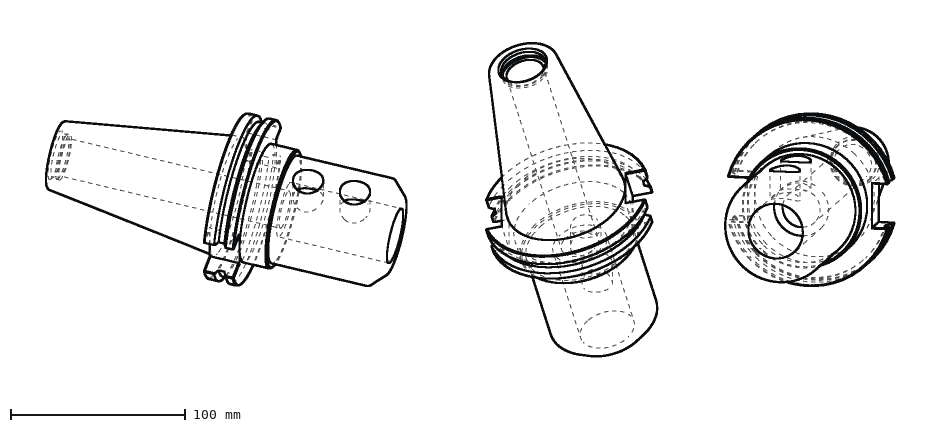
import cadquery as cq
import math


taper_ratio = 7 / 24
gauge_diameter = 69.85
taper_length = 101.6
taper_overrun = 0.8
taper_end_fillet = 2.0

overall_length = 203.22
flange_diameter = 97.5
flange_start = 1.4
flange_end = 19.2
flange_chamfer = 0.5

groove_center = 11.1
groove_floor_width = 3.4
groove_floor_diameter = 91.25
groove_half_angle = 30.0

slot_width = 25.7
slot_floor_plus_y = 37.7
slot_floor_minus_y = 35.3
cut_clearance = 1.0

collar_diameter = 69.85
collar_end = 35.4
collar_chamfer = 0.8
body_diameter = 63.5
nose_chamfer = 8.55
nose_fillet = 2.0

through_diameter = 21.97
counterbore_diameter = 26.2
counterbore_depth = 4.2
counterbore_chamfer = 1.3
relief_diameter = 26.7
relief_length = 1.4
shank_bore_diameter = 32.0
shank_bore_depth = 66.0

screw_hole_diameter = 17.32
screw_hole_from_nose = 24.0
screw_hole_spacing = 28.0
screw_hole_count = 2

taper_start = -taper_length
nose_end = taper_start + overall_length


def solid_of_revolution(points):
    """Revolve a closed (x, radius) outline about the X axis."""
    return cq.Workplane("XY").polyline(points).close().revolve(360, (0, 0, 0), (1, 0, 0))


def axial_cylinder(start, diameter, length):
    return cq.Workplane("YZ", origin=(start, 0, 0)).circle(diameter / 2).extrude(length)


def make_taper():
    gauge_radius = gauge_diameter / 2
    small_radius = gauge_radius - taper_length * taper_ratio / 2
    large_radius = gauge_radius + taper_overrun * taper_ratio / 2
    taper = solid_of_revolution([
        (taper_start, 0),
        (taper_start, small_radius),
        (taper_overrun, large_radius),
        (flange_start, large_radius),
        (flange_start, 0),
    ])
    return taper.faces("<X").edges().fillet(taper_end_fillet)


def make_groove():
    floor_radius = groove_floor_diameter / 2
    rim_radius = flange_diameter / 2
    floor_half = groove_floor_width / 2
    rim_half = floor_half + (rim_radius - floor_radius) * math.tan(math.radians(groove_half_angle))
    return solid_of_revolution([
        (groove_center - floor_half, floor_radius),
        (groove_center - rim_half, rim_radius),
        (groove_center + rim_half, rim_radius),
        (groove_center + floor_half, floor_radius),
    ])


def make_drive_slot(side, floor):
    """Slot through one side of the flange; side is +1 for +Y and -1 for -Y."""
    slot_depth = flange_diameter / 2 - floor + cut_clearance
    slot_length = flange_end - flange_start
    slot_center = (flange_start + flange_end) / 2
    slot = cq.Workplane("XY").box(slot_length, slot_depth, slot_width)
    return slot.translate((slot_center, side * (floor + slot_depth / 2), 0))


def make_flange():
    flange = axial_cylinder(flange_start, flange_diameter, flange_end - flange_start)
    flange = flange.cut(make_drive_slot(1, slot_floor_plus_y))
    flange = flange.cut(make_drive_slot(-1, slot_floor_minus_y))
    rim_edges = flange.faces("%CYLINDER").edges()
    slot_wall_edges = flange.edges("|Y")
    flange = rim_edges.add(slot_wall_edges).chamfer(flange_chamfer)
    return flange.cut(make_groove())


def make_collar():
    collar = axial_cylinder(flange_end, collar_diameter, collar_end - flange_end)
    return collar.faces(">X").edges().chamfer(collar_chamfer)


def make_body():
    body = axial_cylinder(collar_end, body_diameter, nose_end - collar_end)
    body = body.faces(">X").edges().chamfer(nose_chamfer)
    return body.faces("%CONE").edges("%CIRCLE").fillet(nose_fillet)


def make_axial_bores():
    """Bores on the X axis; the mouth is a 45 degree countersink."""
    through = axial_cylinder(taper_start, through_diameter, overall_length)
    counterbore = axial_cylinder(taper_start, counterbore_diameter, counterbore_depth)
    relief = axial_cylinder(taper_start + counterbore_depth, relief_diameter, relief_length)
    mouth_radius = counterbore_diameter / 2 + counterbore_chamfer
    mouth = solid_of_revolution([
        (taper_start, 0),
        (taper_start, mouth_radius),
        (taper_start + mouth_radius, 0),
    ])
    shank_bore = axial_cylinder(nose_end - shank_bore_depth, shank_bore_diameter, shank_bore_depth)
    return [through, counterbore, relief, mouth, shank_bore]


def make_screw_holes():
    """Radial holes from the +Z side into the shank bore."""
    holes = []
    for index in range(screw_hole_count):
        x = nose_end - screw_hole_from_nose - index * screw_hole_spacing
        hole = cq.Workplane("XY", origin=(x, 0, 0)).circle(screw_hole_diameter / 2).extrude(body_diameter)
        holes.append(hole)
    return holes


result = make_taper().union(make_flange()).union(make_collar()).union(make_body())
for cutter in make_axial_bores() + make_screw_holes():
    result = result.cut(cutter)